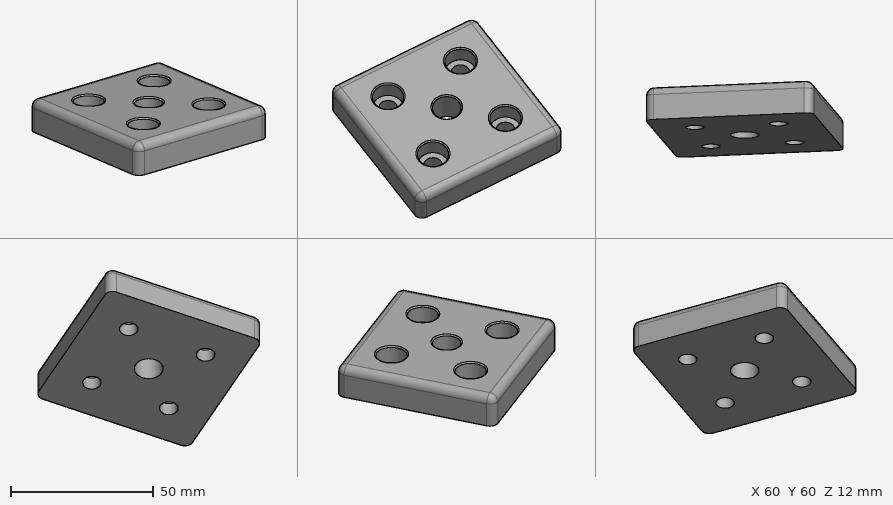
import cadquery as cq

side = 60.0
thickness = 12.0
edge_radius = 3.0

rim_chamfer = 0.5
center_diameter = 10.1
screw_diameter = 6.5
counterbore_diameter = 11.0
counterbore_depth = 6.6
screw_spacing = side / 2


def rounded_plate():
    """Square plate on Z = 0 with rounded corners and a rounded top edge."""
    block = cq.Workplane("XY").box(side, side, thickness, centered=(True, True, False))
    return block.edges("|Z").fillet(edge_radius).faces(">Z").edges().fillet(edge_radius)


def chamfered_bore(diameter, depth):
    """Cutter reaching down from the top face, flared by the rim chamfer."""
    bore = cq.Workplane("XY").workplane(offset=thickness - depth).circle(diameter / 2).extrude(depth)
    flare = (
        cq.Workplane("XY")
        .workplane(offset=thickness)
        .circle(diameter / 2 + rim_chamfer)
        .workplane(offset=-rim_chamfer)
        .circle(diameter / 2)
        .loft()
    )
    return bore.union(flare)


def screw_hole():
    """Cutter for a through hole with a chamfered counterbore."""
    shank = cq.Workplane("XY").circle(screw_diameter / 2).extrude(thickness)
    return shank.union(chamfered_bore(counterbore_diameter, counterbore_depth))


result = rounded_plate().cut(chamfered_bore(center_diameter, thickness))

for x_side in (-1, 1):
    for y_side in (-1, 1):
        position = (x_side * screw_spacing / 2, y_side * screw_spacing / 2, 0)
        result = result.cut(screw_hole().translate(position))